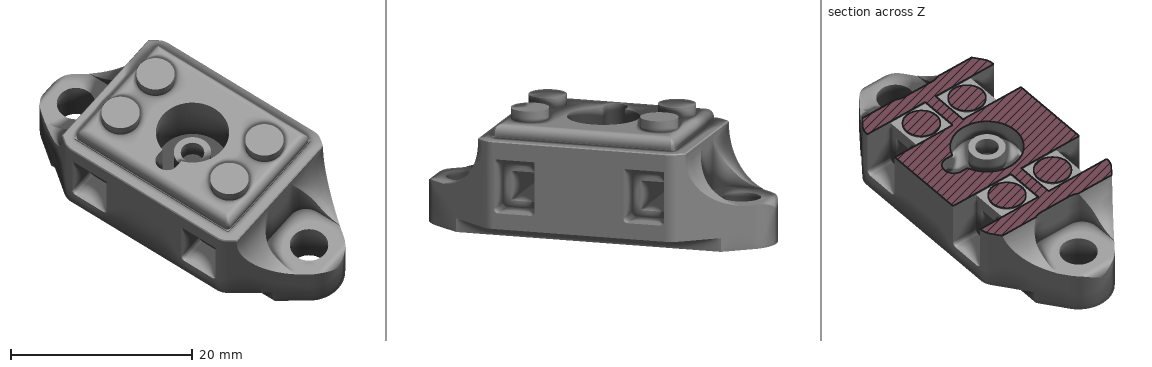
import cadquery as cq
import math

LENGTH = 40.0
WIDTH = 18.0
EAR_RADIUS = 4.0
EAR_HOLE_X = LENGTH / 2 - EAR_RADIUS
EAR_HOLE_DIAMETER = 4.25
EAR_TOP_Z = 5.0
EAR_TIP_FILLET = 1.0
TAPER_SLOPE = 0.75
SHOULDER_CORNER_RADIUS = 2.0

BODY_LENGTH = 24.0
BODY_TOP_Z = 11.5
BODY_EDGE_CHAMFER = 0.1
SHOULDER_RADIUS = 6.0

FOOT_WIDTH = 11.0
FOOT_HEIGHT = 1.55

SEAT_WIDTH = 8.25
SEAT_CORNER_RADIUS = 2.1

PLINTH_LENGTH = 21.1
PLINTH_WIDTH = 15.3
PLINTH_HEIGHT = 0.15
LID_INSET = 0.1
LID_TOP_Z = 13.0
LID_CORNER_CHAMFER = 0.3
LID_EDGE_RADIUS = 1.0

STUD_X = 7.5
STUD_Y = 3.25
STUD_DIAMETER = 4.25
TOP_Z = 14.25

WINDOW_WIDTH = 4.7
WINDOW_BOTTOM_Z = 3.35
WINDOW_TOP_Z = 9.5
WINDOW_CORNER_RADIUS = 0.5
WINDOW_DEPTH = 3.3
STUD_GAP = 0.45
THROUGH_WIDTH = 2.8
THROUGH_BOTTOM_Z = 4.1
THROUGH_TOP_Z = 7.5

KEYHOLE_DIAMETER = 8.1
KEY_SLOT_WIDTH = 2.6
KEY_SLOT_REACH = 6.0
KEYHOLE_DEPTH = 6.0
POST_DIAMETER = 4.1
POST_TOP_Z = 9.2
POST_HOLE_DIAMETER = 2.6


def box(x_size, y_size, z_low, z_high, x=0.0, y=0.0):
    """Upright box centred on (x, y) between two heights."""
    blank = cq.Workplane("XY").workplane(offset=z_low).center(x, y)
    return blank.rect(x_size, y_size).extrude(z_high - z_low)


def cylinder(diameter, z_low, z_high, x=0.0, y=0.0):
    """Upright cylinder centred on (x, y) between two heights."""
    blank = cq.Workplane("XY").workplane(offset=z_low).center(x, y)
    return blank.circle(diameter / 2).extrude(z_high - z_low)


def both_ends(tool):
    """A tool for the +X end joined with its mirror image at the -X end."""
    return tool.union(tool.mirror("YZ"))


def make_plan_blank():
    """Plan outline, extruded to the body top."""
    normal_length = math.hypot(TAPER_SLOPE, 1.0)
    tangent_x = EAR_HOLE_X + EAR_RADIUS * TAPER_SLOPE / normal_length
    tangent_y = EAR_RADIUS / normal_length
    half_width = WIDTH / 2
    shoulder_x = tangent_x - (half_width - tangent_y) / TAPER_SLOPE
    blank = (
        cq.Workplane("XY")
        .moveTo(-shoulder_x, half_width)
        .lineTo(shoulder_x, half_width)
        .lineTo(tangent_x, tangent_y)
        .threePointArc((LENGTH / 2, 0), (tangent_x, -tangent_y))
        .lineTo(shoulder_x, -half_width)
        .lineTo(-shoulder_x, -half_width)
        .lineTo(-tangent_x, -tangent_y)
        .threePointArc((-LENGTH / 2, 0), (-tangent_x, tangent_y))
        .close()
        .extrude(BODY_TOP_Z)
    )
    corners = cq.selectors.BoxSelector(
        (-shoulder_x - 0.4, -WIDTH, 0), (shoulder_x + 0.4, WIDTH, BODY_TOP_Z)
    )
    return blank.edges("|Z").edges(corners).fillet(SHOULDER_CORNER_RADIUS)


def make_shoulder_cut():
    """Everything above the +X ear: hollow shoulder, flat ear top and rounded tip."""
    wall_x = BODY_LENGTH / 2
    tip_x = LENGTH / 2
    sagitta = 1 - math.sqrt(0.5)
    arc_step = SHOULDER_RADIUS * sagitta
    tip_step = EAR_TIP_FILLET * sagitta
    return (
        cq.Workplane("XZ")
        .moveTo(wall_x, BODY_TOP_Z)
        .lineTo(wall_x, EAR_TOP_Z + SHOULDER_RADIUS)
        .threePointArc(
            (wall_x + arc_step, EAR_TOP_Z + arc_step), (wall_x + SHOULDER_RADIUS, EAR_TOP_Z)
        )
        .lineTo(tip_x - EAR_TIP_FILLET, EAR_TOP_Z)
        .threePointArc((tip_x - tip_step, EAR_TOP_Z - tip_step), (tip_x, EAR_TOP_Z - EAR_TIP_FILLET))
        .lineTo(tip_x, BODY_TOP_Z)
        .close()
        .extrude(WIDTH / 2, both=True)
    )


def make_seat_cut():
    """Round-cornered recess that carries the flat ear top in to the +X body wall."""
    seat_length = (LENGTH - BODY_LENGTH) / 2
    seat = box(seat_length, SEAT_WIDTH, EAR_TOP_Z, BODY_TOP_Z, x=(LENGTH + BODY_LENGTH) / 4)
    return seat.edges("|Z and <X").fillet(SEAT_CORNER_RADIUS)


def make_body():
    """Body with shoulders, ear seats, ear holes and the narrow foot."""
    body = make_plan_blank().cut(both_ends(make_shoulder_cut()))
    body = body.faces(">Z").edges().chamfer(BODY_EDGE_CHAMFER)
    body = body.cut(both_ends(make_seat_cut()))
    body = body.cut(both_ends(cylinder(EAR_HOLE_DIAMETER, 0, EAR_TOP_Z, x=EAR_HOLE_X)))
    side_strip = (WIDTH - FOOT_WIDTH) / 2
    for side in (-1, 1):
        body = body.cut(box(LENGTH, side_strip, 0, FOOT_HEIGHT, y=side * (WIDTH - side_strip) / 2))
    return body


def rounded_block(x_size, y_size, bottom_z):
    """Block reaching the lid top, with its top edges rounded."""
    return box(x_size, y_size, bottom_z, LID_TOP_Z).faces(">Z").edges().fillet(LID_EDGE_RADIUS)


def make_lid():
    """Thin plinth and the rounded block on it."""
    plinth_top_z = BODY_TOP_Z + PLINTH_HEIGHT
    plinth = box(PLINTH_LENGTH, PLINTH_WIDTH, BODY_TOP_Z, plinth_top_z)
    block_length = PLINTH_LENGTH - 2 * LID_INSET
    block_width = PLINTH_WIDTH - 2 * LID_INSET
    block = rounded_block(block_length, block_width, plinth_top_z)
    diagonal = (block_length + block_width - 2 * LID_CORNER_CHAMFER) / math.sqrt(2)
    corner_limit = rounded_block(diagonal, diagonal, plinth_top_z)
    corner_limit = corner_limit.rotate((0, 0, 0), (0, 0, 1), 45)
    return plinth.union(block.intersect(corner_limit))


def make_window_cut(x, side):
    """One side window, with the gap at its top that runs around the stud."""
    window_y = side * (WIDTH - WINDOW_DEPTH) / 2
    window = box(WINDOW_WIDTH, WINDOW_DEPTH, WINDOW_BOTTOM_Z, WINDOW_TOP_Z, x, window_y)
    window = window.edges("|Y and <Z").fillet(WINDOW_CORNER_RADIUS)
    gap_low_z = WINDOW_TOP_Z - STUD_GAP
    gap_length = WIDTH - 2 * (WINDOW_DEPTH + STUD_Y)
    gap = box(WINDOW_WIDTH, gap_length, gap_low_z, WINDOW_TOP_Z, x, side * STUD_Y)
    gap = gap.cut(cylinder(STUD_DIAMETER, gap_low_z, WINDOW_TOP_Z, x, side * STUD_Y))
    return window.union(gap)


def make_keyhole_cut():
    """Blind keyhole, leaving a hollow post standing on its floor."""
    floor_z = LID_TOP_Z - KEYHOLE_DEPTH
    slot_end_y = -KEY_SLOT_REACH + KEY_SLOT_WIDTH / 2
    keyhole = cylinder(KEYHOLE_DIAMETER, floor_z, LID_TOP_Z)
    keyhole = keyhole.union(box(KEY_SLOT_WIDTH, -slot_end_y, floor_z, LID_TOP_Z, y=slot_end_y / 2))
    keyhole = keyhole.union(cylinder(KEY_SLOT_WIDTH, floor_z, LID_TOP_Z, y=slot_end_y))
    keyhole = keyhole.cut(cylinder(POST_DIAMETER, floor_z, POST_TOP_Z))
    return keyhole.union(cylinder(POST_HOLE_DIAMETER, floor_z, POST_TOP_Z))


result = make_body().union(make_lid())
result = result.cut(make_keyhole_cut())
for stud_x in (-STUD_X, STUD_X):
    for stud_side in (-1, 1):
        result = result.union(cylinder(STUD_DIAMETER, BODY_TOP_Z, TOP_Z, stud_x, stud_side * STUD_Y))
        result = result.cut(make_window_cut(stud_x, stud_side))
    result = result.cut(box(THROUGH_WIDTH, WIDTH, THROUGH_BOTTOM_Z, THROUGH_TOP_Z, stud_x))